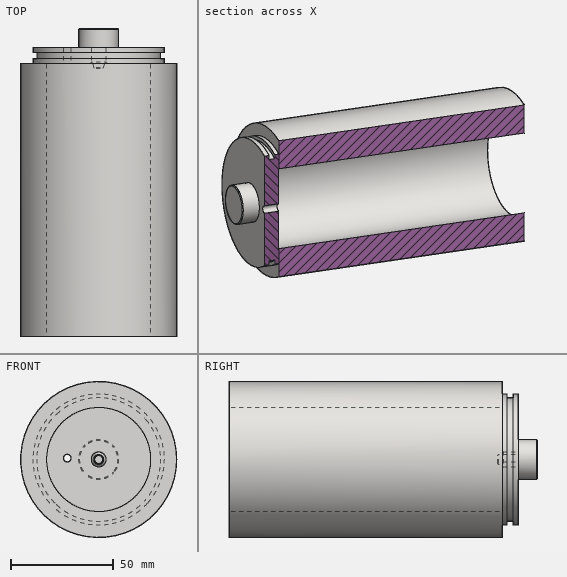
import cadquery as cq
import math

TOTAL_LENGTH = 150.3

TUBE_DIAMETER = 76.2
BORE_DIAMETER = 50.8
TUBE_LENGTH = 133.3

CAP_RADIUS = 32.0
CAP_LENGTH = 7.8
GROOVE_FLOOR_RADIUS = 30.2
GROOVE_OFFSET = 2.3
GROOVE_WIDTH = 3.0

VENT_RADIUS = 1.8
VENT_OFFSET = 15.3
VENT_ANGLE = 177.5

HOLE_ROUNDING = 0.6

HEAD_RADIUS = 9.8
HEAD_CHAMFER = 0.5
SHANK_RADIUS = 3.6
TIP_RADIUS = 2.4
TIP_CHAMFER = 0.5
FLARE_RADIUS = 3.5

CAP_END = TUBE_LENGTH + CAP_LENGTH


def cylinder(radius, start, end):
    """Solid cylinder on the Y axis between two Y positions."""
    return cq.Workplane("XZ", origin=(0, start, 0)).circle(radius).extrude(start - end)


def make_tube():
    bore = cylinder(BORE_DIAMETER / 2, 0, TUBE_LENGTH)
    return cylinder(TUBE_DIAMETER / 2, 0, TUBE_LENGTH).cut(bore)


def make_groove():
    """Ring removed from the rim of the cap."""
    start = TUBE_LENGTH + GROOVE_OFFSET
    end = start + GROOVE_WIDTH
    return cylinder(CAP_RADIUS, start, end).cut(cylinder(GROOVE_FLOOR_RADIUS, start, end))


def make_vent():
    angle = math.radians(VENT_ANGLE)
    place = (VENT_OFFSET * math.cos(angle), 0, VENT_OFFSET * math.sin(angle))
    return cylinder(VENT_RADIUS, TUBE_LENGTH, CAP_END).translate(place)


def make_cap():
    """Disc with a shank hole whose inner rim is rounded, a rim groove and a vent."""
    blank = cylinder(CAP_RADIUS, TUBE_LENGTH, CAP_END)
    shank_hole = cylinder(SHANK_RADIUS, TUBE_LENGTH, CAP_END)
    drilled = blank.cut(shank_hole)
    inner_rim = drilled.faces("<Y").edges(cq.selectors.RadiusNthSelector(0))
    rounded = inner_rim.fillet(HOLE_ROUNDING)
    return rounded.cut(make_groove()).cut(make_vent())


def make_pin():
    """Half outline in the XY plane, turned about the Y axis."""
    flare_start_y = TUBE_LENGTH + HOLE_ROUNDING
    sweep = math.acos(1 - (SHANK_RADIUS - TIP_RADIUS) / FLARE_RADIUS)
    neck_y = flare_start_y - FLARE_RADIUS * math.sin(sweep)
    arc_middle = (
        TIP_RADIUS + FLARE_RADIUS * (1 - math.cos(sweep / 2)),
        neck_y + FLARE_RADIUS * math.sin(sweep / 2),
    )
    tip_y = neck_y - TIP_CHAMFER
    return (
        cq.Workplane("XY")
        .moveTo(0, tip_y)
        .lineTo(TIP_RADIUS - TIP_CHAMFER, tip_y)
        .lineTo(TIP_RADIUS, neck_y)
        .threePointArc(arc_middle, (SHANK_RADIUS, flare_start_y))
        .lineTo(SHANK_RADIUS, CAP_END)
        .lineTo(HEAD_RADIUS, CAP_END)
        .lineTo(HEAD_RADIUS, TOTAL_LENGTH - HEAD_CHAMFER)
        .lineTo(HEAD_RADIUS - HEAD_CHAMFER, TOTAL_LENGTH)
        .lineTo(0, TOTAL_LENGTH)
        .close()
        .revolve(360, (0, 0, 0), (0, 1, 0))
    )


tube = make_tube()
cap = make_cap()
pin = make_pin()

result = cq.Compound.makeCompound([tube.val(), cap.val(), pin.val()])